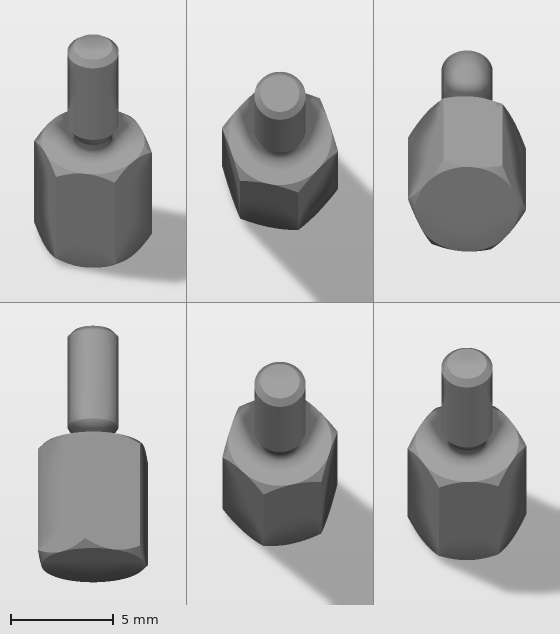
import cadquery as cq
import math

total_height = 12
body_height = total_height / 2
across_flats = 5.0
across_corners = across_flats / math.cos(math.radians(30))
corner_chamfer_angle = 45

stud_radius = 2.5 / 2
neck_radius = 1.8 / 2
tip_chamfer = 0.3
relief_fillet = 0.2
relief_taper = math.radians(30)
relief_top = body_height + 1.12


def hex_body():
    """Hexagonal prism whose corners are trimmed by a cone at both ends."""
    prism = cq.Workplane("XY").polygon(6, across_corners).extrude(body_height)
    flat_radius = across_flats / 2
    corner_radius = across_corners / 2
    chamfer_height = (corner_radius - flat_radius) * math.tan(math.radians(corner_chamfer_angle))
    envelope = (
        cq.Workplane("XZ")
        .moveTo(0, 0)
        .lineTo(flat_radius, 0)
        .lineTo(corner_radius, chamfer_height)
        .lineTo(corner_radius, body_height - chamfer_height)
        .lineTo(flat_radius, body_height)
        .lineTo(0, body_height)
        .close()
        .revolve(360, (0, 0), (0, 1))
    )
    return prism.intersect(envelope)


def stud():
    """Plain stud with a tapered relief and a filleted neck."""
    taper_height = (stud_radius - neck_radius) / math.tan(relief_taper)
    taper_foot = relief_top - taper_height
    tangent_length = relief_fillet * math.tan(relief_taper / 2)
    taper_tangent = (
        neck_radius + tangent_length * math.sin(relief_taper),
        taper_foot + tangent_length * math.cos(relief_taper),
    )
    return (
        cq.Workplane("XZ")
        .moveTo(0, body_height)
        .lineTo(neck_radius + relief_fillet, body_height)
        .radiusArc((neck_radius, body_height + relief_fillet), relief_fillet)
        .lineTo(neck_radius, taper_foot - tangent_length)
        .radiusArc(taper_tangent, relief_fillet)
        .lineTo(stud_radius, relief_top)
        .lineTo(stud_radius, total_height - tip_chamfer)
        .lineTo(stud_radius - tip_chamfer, total_height)
        .lineTo(0, total_height)
        .close()
        .revolve(360, (0, 0), (0, 1))
    )


result = hex_body().union(stud())